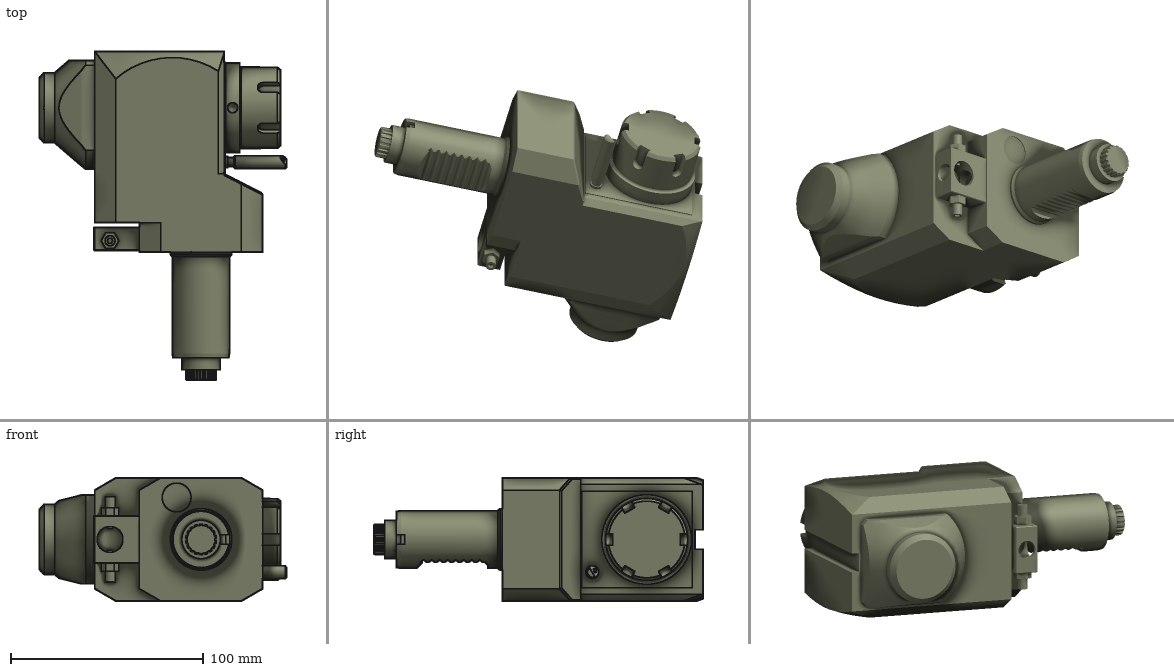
import cadquery as cq
import math


housing_height = 64.0
half_height = housing_height / 2
housing_left = -55.3
housing_right = 12.0
foot_half_width = 32.0
housing_back = 104.3
step_y = 15.35
slant_start_y = 30.5
slant_end_y = 40.7
slant_edge_break = 0.7
edge_angle = 30.0
edge_width = 11.0
edge_drop = edge_width * math.tan(math.radians(edge_angle))
nose_edge_width = 3.0
nose_edge_drop = 3.4
dome_x = -15.0
dome_y = 56.8
dome_top_radius = 44.3
dome_corner_radius = 62.3
back_slot_width = 10.0
back_slot_depth = 4.1
plug_x = -12.7
plug_z = 21.8
plug_diameter = 15.0
plug_depth = 0.5

shank_radius = 15.0
shank_length = 55.0
root_radius = 16.0
root_length = 1.2
root_end = 2.4
shank_end_length = 2.3
shank_end_radius = 14.6
collar_radius = 10.0
collar_end = 61.2
spline_radius = 8.0
spline_root_radius = 7.2
spline_teeth = 18
spline_root_share = 1 / 3
spline_end = 66.7
spline_chamfer = 0.6
drive_slot_width = 5.0
drive_slot_depth = 4.3
drive_slot_inner_depth = 2.3
drive_slot_step_radius = 12.8
rack_z = -11.9
rack_start = 7.5
rack_end = 41.5
rack_corner = 1.5
rack_first_notch = 11.8
rack_pitch = 4.15
rack_notches = 8
rack_notch_depth = 1.2
rack_notch_width = 3.2

spindle_y = 75.0
plate_thickness = 0.5
plate_start_y = 41.3
plate_end_y = 98.6
plate_half_height = 25.0
cap_end_x = -84.1
cap_chamfer_x = -81.5
cap_cylinder_x = -76.0
cap_flare_x = -60.0
cap_end_radius = 15.6
cap_radius = 18.3
cap_base_radius = 32.0
cap_half_height = 23.1
cap_neck_half_height = 20.1
cap_flat_start_x = -74.0
cap_flat_end_x = -62.2
cap_back_offset = 24.6
cap_corner = 2.3
collar_gap_x = 12.7
ring_end_x = 20.1
nut_start_x = 20.9
nut_end_x = 41.3
ring_radius = 23.3
neck_radius = 20.0
nut_radius = 21.3
nut_end_radius = 19.9
nut_chamfer_x = 39.6
nut_slot_count = 6
nut_slot_width = 6.0
nut_slot_start_x = 29.4
nut_slot_floor = 17.5
grub_hole_x = 16.4
grub_hole_diameter = 5.2
grub_hole_depth = 1.5
grub_cone_depth = 1.5

pin_y = 46.8
pin_z = -17.0
pin_radius = 3.4
pin_base_radius = 3.0
pin_neck_radius = 2.4
pin_neck_start = 13.8
pin_neck_end = 16.9
pin_end_x = 44.53
pin_chamfer = 0.8
pin_bevel = 3.5
pin_hole_diameter = 2.0
pin_hole_depth = 4.0

block_left = -55.7
block_front = 0.8
block_back = 13.0
block_half_height = 12.4
block_edge_break = 0.4
block_x = -47.3
screw_y = 5.95
front_bore_diameter = 13.4
front_bore_depth = 11.5
side_bore_y = 6.8
side_bore_diameter = 9.4
side_bore_depth = 19.0
side_pilot_diameter = 3.0
nut_flats = 8.0
nut_top_z = 16.4
screw_top_z = 22.2
screw_diameter = 5.2
screw_tip_diameter = 3.0
screw_tip_z = 5.6
socket_flats = 2.5
socket_depth = 2.5

overshoot = 1.0


def along_y(points, y_start, y_end):
    """Prism of an (x, z) outline between two Y positions."""
    return (cq.Workplane("XZ", origin=(0, y_start, 0)).polyline(points).close()
            .extrude(y_start - y_end))


def turned_about_x(points):
    """Solid of revolution of an (x, radius) outline about the X axis."""
    profile = cq.Workplane("XY").polyline(points).close()
    return profile.revolve(360, (0, 0, 0), (1, 0, 0))


def cylinder(origin, direction, diameter, length):
    """Cylinder from an origin point along a direction."""
    return cq.Workplane(cq.Solid.makeCylinder(
        diameter / 2, length, cq.Vector(*origin), cq.Vector(*direction)))


def box_between(x0, x1, y0, y1, z0, z1):
    """Box given by its limits on each axis."""
    return cq.Workplane("XY").box(x1 - x0, y1 - y0, z1 - z0, centered=False).translate((x0, y0, z0))


def bevel_edge(solid, x, inward, width, drop, y_start, y_end):
    """Chamfer the upper and lower long edges at side face x; inward is +1 or -1."""
    for side in (1, -1):
        corner = [
            (x + inward * width, side * half_height),
            (x, side * half_height),
            (x, side * (half_height - drop)),
        ]
        solid = solid.cut(along_y(corner, y_start, y_end))
    return solid


def make_housing():
    outline = [
        (-foot_half_width, 0),
        (foot_half_width, 0),
        (foot_half_width, slant_start_y),
        (housing_right, slant_end_y),
        (housing_right, housing_back),
        (housing_left, housing_back),
        (housing_left, step_y),
        (-foot_half_width, step_y),
    ]
    housing = (cq.Workplane("XY", origin=(0, 0, -half_height)).polyline(outline).close()
               .extrude(housing_height))
    housing = bevel_edge(housing, housing_left, 1, edge_width, edge_drop, step_y, housing_back)
    housing = bevel_edge(housing, -foot_half_width, 1, edge_width, edge_drop, 0, step_y)
    housing = bevel_edge(housing, foot_half_width, -1, edge_width, edge_drop, 0, slant_end_y)
    slant_middle = ((housing_right + foot_half_width) / 2, (slant_start_y + slant_end_y) / 2, 0)
    slant_face = housing.faces(cq.selectors.NearestToPointSelector(slant_middle))
    outer_edges = slant_face.edges(cq.selectors.BoxSelector(
        (housing_right + slant_edge_break, 0, -housing_height),
        (housing_right + housing_height, housing_back, housing_height)))
    housing = outer_edges.chamfer(slant_edge_break)
    housing = bevel_edge(housing, housing_right, -1, nose_edge_width, nose_edge_drop,
                         slant_end_y, housing_back)
    housing = housing.intersect(make_dome())
    back_slot = box_between(housing_left, housing_right, housing_back - back_slot_depth, housing_back,
                            -back_slot_width / 2, back_slot_width / 2)
    plug = cylinder((plug_x, 0, plug_z), (0, 1, 0), plug_diameter, plug_depth)
    return housing.cut(back_slot).cut(plug)


def make_dome():
    """Envelope of the housing: a double cone about a vertical axis behind, plain in front."""
    slope = (dome_corner_radius - dome_top_radius) / edge_drop
    middle_radius = dome_top_radius + slope * half_height
    profile = [
        (0, -half_height),
        (dome_top_radius, -half_height),
        (middle_radius, 0),
        (dome_top_radius, half_height),
        (0, half_height),
    ]
    dome = cq.Workplane("XZ").polyline(profile).close().revolve(360, (0, 0, 0), (0, 1, 0))
    front_part = box_between(housing_left, foot_half_width, 0, dome_y, -half_height, half_height)
    return dome.translate((dome_x, dome_y, 0)).union(front_part)


def make_shank():
    profile = [
        (0, 0),
        (root_radius, 0),
        (root_radius, -root_length),
        (shank_radius, -root_end),
        (shank_radius, -(shank_length - shank_end_length)),
        (shank_end_radius, -shank_length),
        (collar_radius, -shank_length),
        (collar_radius, -collar_end),
        (spline_radius, -collar_end),
        (spline_radius, -(spline_end - spline_chamfer)),
        (spline_radius - spline_chamfer, -spline_end),
        (0, -spline_end),
    ]
    shank = cq.Workplane("XY").polyline(profile).close().revolve(360, (0, 0, 0), (0, 1, 0))
    half_slot = drive_slot_width / 2
    inner_slot = box_between(collar_radius, drive_slot_step_radius, -shank_length,
                             drive_slot_inner_depth - shank_length, -half_slot, half_slot)
    outer_slot = box_between(drive_slot_step_radius, root_radius, -shank_length,
                             drive_slot_depth - shank_length, -half_slot, half_slot)
    return shank.cut(inner_slot).cut(outer_slot).cut(make_rack_cut()).cut(make_spline_gaps())


def make_rack_cut():
    """Flat with cross notches along the underside of the shank."""
    bottom = -root_radius
    flat = [
        (-rack_start, bottom),
        (-rack_start, rack_z - rack_corner),
        (-rack_start - rack_corner, rack_z),
        (-rack_end, rack_z),
        (-rack_end + bottom - rack_z, bottom),
    ]

    def across(points):
        return cq.Workplane("YZ").polyline(points).close().extrude(shank_radius, both=True)

    rack = across(flat)
    for index in range(rack_notches):
        y = -rack_first_notch - index * rack_pitch
        notch = [
            (y - rack_notch_width / 2, rack_z),
            (y, rack_z + rack_notch_depth),
            (y + rack_notch_width / 2, rack_z),
        ]
        rack = rack.union(across(notch))
    return rack


def make_spline_gaps():
    pitch = 2 * math.pi * spline_radius / spline_teeth
    root_half_width = spline_root_share * pitch / 2
    outer = spline_radius + overshoot
    gap = [
        (spline_root_radius, -root_half_width),
        (outer, -pitch / 2),
        (outer, pitch / 2),
        (spline_root_radius, root_half_width),
    ]
    one_gap = along_y(gap, -spline_end, -collar_end)
    gaps = cq.Workplane("XY")
    for index in range(spline_teeth):
        turned = one_gap.rotate((0, 0, 0), (0, 1, 0), index * 360 / spline_teeth)
        gaps = gaps.add(turned)
    return gaps.combine()


def make_cap():
    """Rear spindle cover: a flared cone trimmed by tilted flats and a flat back."""
    profile = [
        (housing_left, 0),
        (housing_left, cap_base_radius),
        (cap_flare_x, cap_base_radius),
        (cap_cylinder_x, cap_radius),
        (cap_chamfer_x, cap_radius),
        (cap_end_x, cap_end_radius),
        (cap_end_x, 0),
    ]
    cap = turned_about_x(profile).translate((0, spindle_y, 0))
    tilt = (cap_half_height - cap_neck_half_height) / (cap_flat_end_x - cap_flat_start_x)
    end_half_height = cap_neck_half_height - tilt * (cap_flat_start_x - cap_end_x)
    side_outline = [
        (housing_left, -cap_half_height),
        (housing_left, cap_half_height),
        (cap_flat_end_x, cap_half_height),
        (cap_end_x, end_half_height),
        (cap_end_x, -end_half_height),
        (cap_flat_end_x, -cap_half_height),
    ]
    envelope = along_y(side_outline, spindle_y - cap_base_radius, spindle_y + cap_back_offset)
    end_block = box_between(cap_end_x, housing_left, spindle_y - cap_base_radius,
                            spindle_y + cap_back_offset, -cap_half_height, cap_half_height)
    end_block = end_block.edges("|X and >Y").chamfer(cap_corner)
    return cap.intersect(envelope).intersect(end_block)


def make_nose():
    """Cover plate, bearing ring and slotted clamping nut on the tool side."""
    profile = [
        (housing_right, 0),
        (housing_right, neck_radius),
        (collar_gap_x, neck_radius),
        (collar_gap_x, ring_radius),
        (ring_end_x, ring_radius),
        (ring_end_x, neck_radius),
        (nut_start_x, neck_radius),
        (nut_start_x, nut_radius),
        (nut_chamfer_x, nut_radius),
        (nut_end_x, nut_end_radius),
        (nut_end_x, 0),
    ]
    nose = turned_about_x(profile)
    slot_radius = nut_slot_width / 2
    slot_centre_x = nut_slot_start_x + slot_radius
    slot_cut_height = nut_radius + overshoot - nut_slot_floor
    slot = box_between(slot_centre_x, nut_end_x, -slot_radius, slot_radius,
                       nut_slot_floor, nut_slot_floor + slot_cut_height)
    slot = slot.union(cylinder((slot_centre_x, 0, nut_slot_floor), (0, 0, 1),
                               nut_slot_width, slot_cut_height))
    step = 360 / nut_slot_count
    for index in range(nut_slot_count):
        nose = nose.cut(slot.rotate((0, 0, 0), (1, 0, 0), (index + 0.5) * step))
    grub_hole = cylinder((grub_hole_x, 0, ring_radius), (0, 0, -1), grub_hole_diameter, grub_hole_depth)
    grub_cone = cq.Workplane(cq.Solid.makeCone(
        grub_hole_diameter / 2, 0, grub_cone_depth,
        cq.Vector(grub_hole_x, 0, ring_radius - grub_hole_depth), cq.Vector(0, 0, -1)))
    nose = nose.cut(grub_hole).cut(grub_cone).translate((0, spindle_y, 0))
    plate = box_between(housing_right, housing_right + plate_thickness, plate_start_y, plate_end_y,
                        -plate_half_height, plate_half_height)
    return nose.union(plate)


def make_coolant_pin():
    profile = [
        (housing_right, 0),
        (housing_right, pin_base_radius),
        (pin_neck_start, pin_base_radius),
        (pin_neck_start, pin_neck_radius),
        (pin_neck_end, pin_neck_radius),
        (pin_neck_end, pin_radius - pin_chamfer),
        (pin_neck_end + pin_chamfer, pin_radius),
        (pin_end_x - pin_chamfer, pin_radius),
        (pin_end_x, pin_radius - pin_chamfer),
        (pin_end_x, 0),
    ]
    pin = turned_about_x(profile)
    bevel_outline = [
        (pin_end_x - pin_bevel, pin_radius),
        (pin_end_x, pin_radius),
        (pin_end_x, pin_radius - pin_bevel),
    ]
    bevel = cq.Workplane("XY").polyline(bevel_outline).close().extrude(pin_radius, both=True)
    bevel_middle = (pin_end_x - pin_bevel / 2, pin_radius - pin_bevel / 2, 0)
    outlet = cylinder(bevel_middle, (-1, -1, 0), pin_hole_diameter, pin_hole_depth)
    pin = pin.cut(bevel).cut(outlet)
    aim = math.degrees(math.atan2(-pin_z, spindle_y - pin_y))
    return pin.rotate((0, 0, 0), (1, 0, 0), aim).translate((0, pin_y, pin_z))


def make_clamp_block():
    block = box_between(block_left, -foot_half_width, block_front, block_back,
                        -block_half_height, block_half_height)
    block = block.faces("<X").edges().chamfer(block_edge_break)
    block = block.edges("|X").chamfer(block_edge_break)
    front_bore = cylinder((block_x, block_front, 0), (0, 1, 0), front_bore_diameter, front_bore_depth)
    side_bore = cylinder((block_left, side_bore_y, 0), (1, 0, 0), side_bore_diameter, side_bore_depth)
    pilot = cylinder((block_left, side_bore_y, 0), (1, 0, 0), side_pilot_diameter,
                     -foot_half_width - block_left)
    block = block.cut(front_bore).cut(side_bore).cut(pilot)
    screw = make_screw()
    return block.union(screw).union(screw.mirror("XY"))


def make_screw():
    """Set screw with lock nut on the upper face of the clamp block."""
    def corners(flats):
        return flats / math.cos(math.pi / 6)

    lock_nut = (cq.Workplane("XY", origin=(0, 0, block_half_height))
                .polygon(6, corners(nut_flats)).extrude(nut_top_z - block_half_height))
    thread = cylinder((0, 0, block_half_height), (0, 0, 1), screw_diameter,
                      screw_top_z - block_half_height)
    tip = cylinder((0, 0, screw_tip_z), (0, 0, 1), screw_tip_diameter, block_half_height - screw_tip_z)
    socket = (cq.Workplane("XY", origin=(0, 0, screw_top_z))
              .polygon(6, corners(socket_flats)).extrude(-socket_depth))
    return lock_nut.union(thread).union(tip).cut(socket).translate((block_x, screw_y, 0))


result = make_housing()
for piece in (make_shank(), make_cap(), make_nose(), make_coolant_pin(), make_clamp_block()):
    result = result.union(piece)